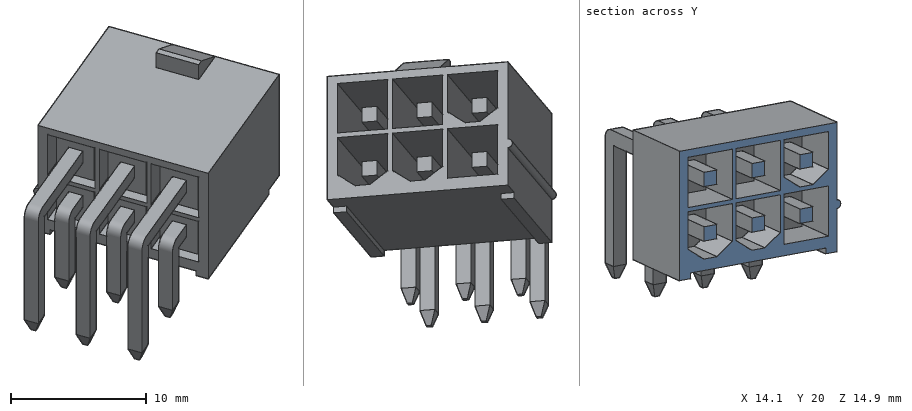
import cadquery as cq


housing_width = 13.78
housing_depth = 12.78
housing_top = 10.0
foot_width = 1.0
foot_height = 0.44
foot_setback = 1.84

pitch = 4.2
cell_size = 3.83
lower_row_height = 3.28
columns = [-pitch, 0, pitch]
upper_row_height = lower_row_height + pitch
row_heights = [lower_row_height, upper_row_height]

wall_recess = 0.82
wall_thickness = 2.5
wall_width = 3.05
wall_shift = -0.04
wall_end = wall_recess + wall_thickness

wedge_height = 0.95
wedge_width = 1.35
keyed_cells = [
    (-pitch, upper_row_height),
    (0, lower_row_height),
    (pitch, lower_row_height),
]

latch_width = 3.43
latch_length = 3.0
latch_height = 1.4
latch_flat = 0.5

rib_radius = 0.34
rib_height = 3.67

pin_size = 1.14
pin_bend_radius = 0.8
pin_bottom = -3.5
pin_taper = 1.08
pin_tip_size = 0.4
upper_pin_reach = 7.19
lower_pin_reach = 1.7
pin_mating_end = 10.78


def block(x_range, y_range, z_range):
    """Axis-aligned block from its lower and upper limits."""
    limits = (x_range, y_range, z_range)
    size = [high - low for low, high in limits]
    corner = tuple(low for low, high in limits)
    return cq.Workplane("XY").box(*size, centered=False).translate(corner)


def centered_range(center, size):
    return center - size / 2, center + size / 2


def make_shell():
    """Housing on two feet, open through every cell."""
    half_width = housing_width / 2
    shell = block(
        (-half_width, half_width), (0, housing_depth), (foot_height, housing_top)
    )
    foot_center = (housing_width - foot_width) / 2
    for x in (-foot_center, foot_center):
        foot = block(
            centered_range(x, foot_width),
            (0, housing_depth - foot_setback),
            (0, foot_height),
        )
        shell = shell.union(foot)
    for x in columns:
        for z in row_heights:
            cell = block(
                centered_range(x, cell_size),
                (0, housing_depth),
                centered_range(z, cell_size),
            )
            shell = shell.cut(cell)
    return shell


def make_pin_wall(x, z):
    return block(
        centered_range(x + wall_shift, wall_width),
        (wall_recess, wall_end),
        centered_range(z, cell_size),
    )


def make_wedge(x, z, side):
    """Slanted filler in a lower cell corner; side is -1 for left, 1 for right."""
    corner_x = x + side * cell_size / 2
    floor = z - cell_size / 2
    return (
        cq.Workplane("XZ", origin=(0, wall_end, 0))
        .moveTo(corner_x, floor)
        .lineTo(corner_x, floor + wedge_height)
        .lineTo(corner_x - side * wedge_width, floor)
        .close()
        .extrude(wall_end - housing_depth)
    )


def make_latch():
    latch_back = housing_depth - latch_length
    latch_top = housing_top + latch_height
    return (
        cq.Workplane("YZ")
        .moveTo(latch_back, housing_top)
        .lineTo(latch_back, latch_top)
        .lineTo(latch_back + latch_flat, latch_top)
        .lineTo(housing_depth, housing_top)
        .close()
        .extrude(latch_width / 2, both=True)
    )


def make_rib():
    return (
        cq.Workplane("XZ", origin=(-housing_width / 2, 0, rib_height))
        .moveTo(0, -rib_radius)
        .threePointArc((-rib_radius, 0), (0, rib_radius))
        .close()
        .extrude(-housing_depth)
    )


def make_pin(x, z, reach):
    """Square pin leaving the housing along -Y and bending down to a tapered tip."""
    half = pin_size / 2
    taper_top = pin_bottom + pin_taper
    leg_y = half - reach
    bent_bar = (
        cq.Workplane("YZ", origin=(x, 0, 0))
        .moveTo(pin_mating_end, z + half)
        .lineTo(pin_bend_radius - reach, z + half)
        .radiusArc((-reach, z + half - pin_bend_radius), -pin_bend_radius)
        .lineTo(-reach, taper_top)
        .lineTo(pin_size - reach, taper_top)
        .lineTo(pin_size - reach, z - half)
        .lineTo(pin_mating_end, z - half)
        .close()
        .extrude(half, both=True)
    )
    tip = (
        cq.Workplane("XY", origin=(x, leg_y, taper_top))
        .rect(pin_size, pin_size)
        .workplane(offset=-pin_taper)
        .rect(pin_tip_size, pin_tip_size)
        .loft()
    )
    return bent_bar.union(tip)


result = make_shell().union(make_latch()).union(make_rib())

for column in columns:
    for row_height in row_heights:
        result = result.union(make_pin_wall(column, row_height))

for column, row_height in keyed_cells:
    for corner_side in (-1, 1):
        result = result.union(make_wedge(column, row_height, corner_side))

for column in columns:
    result = result.union(make_pin(column, upper_row_height, upper_pin_reach))
    result = result.union(make_pin(column, lower_row_height, lower_pin_reach))